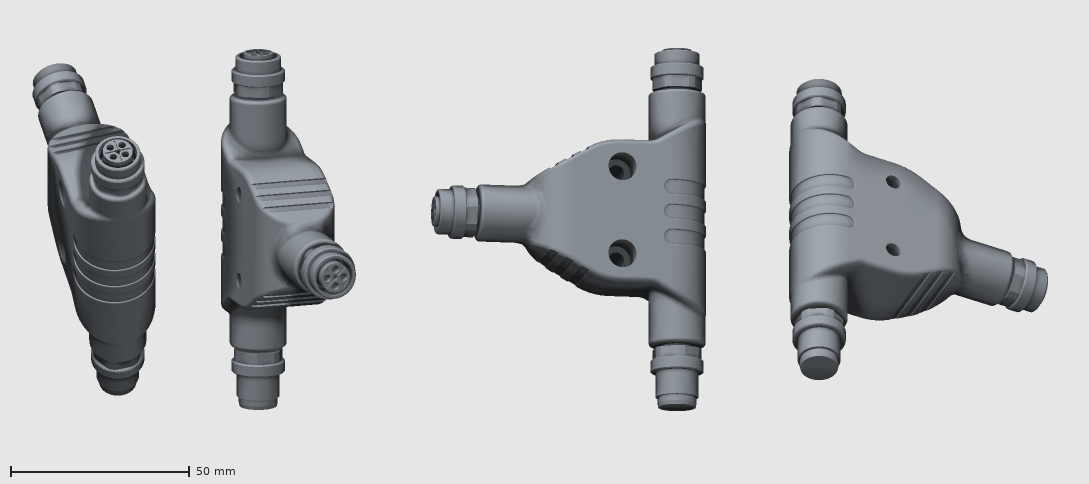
import cadquery as cq
import math


BODY_WIDTH = 23.0
END_RADIUS = BODY_WIDTH / 2
CONDUIT_DIA = 16.0
CONDUIT_RADIUS = CONDUIT_DIA / 2
BODY_RIGHT = 8.1
BODY_LEFT = -43.0
ROOF_HEIGHT = 20.4
NOSE_ANGLE = math.radians(29)
NOSE_BREAK_X = -22.7
NOSE_BREAK_RADIUS = 18.4
SHOULDER_ANGLE = math.radians(30.5)
SHOULDER_BREAK_X = -8.2
SHOULDER_BREAK_RADIUS = 4.6
RIM_FILLET = 1.5
NOSE_HEIGHT = ROOF_HEIGHT - (NOSE_BREAK_X - BODY_LEFT) * math.tan(NOSE_ANGLE)
SHOULDER_HEIGHT = ROOF_HEIGHT + (BODY_RIGHT - SHOULDER_BREAK_X) * math.tan(SHOULDER_ANGLE)

CONDUIT_TOP = 36.0
CONDUIT_BOTTOM = -36.2
BRANCH_END = 57.0
TUBE_END_FILLET = 0.9
BRANCH_BLEND = 4.1
CONDUIT_BLEND = 1.2

GRIP_COUNT = 3
GRIP_FIRST_X = -36.9
GRIP_PITCH_X = 4.3
GRIP_WIDTH = 2.5
GRIP_DEPTH = 0.5

RECESS_HEIGHTS = (-7.1, 0.0, 7.1)
RECESS_WIDTH = 4.1
RECESS_START_X = -5.5
RECESS_DEPTH = 0.4
RECESS_RIM_FILLET = 0.3

MOUNT_X = -17.6
MOUNT_Z = 12.5
MOUNT_DIA = 4.5
MOUNT_HEAD_DIA = 8.0
MOUNT_HEAD_DEPTH = 10.2

NECK_DIA = 9.3
NECK_LENGTH = 0.9
HEX_ACROSS_FLATS = 13.0
HEX_CORNER_DIA = 13.9
HEX_LENGTH = 3.2
RING_DIA = 15.0
RING_LENGTH = 3.5
RING_CHAMFER = 0.3
NUT_LENGTH = NECK_LENGTH + HEX_LENGTH + RING_LENGTH

SLEEVE_DIA = 12.8
SLEEVE_BORE = 10.5
SLEEVE_MOUTH_DIA = 10.8
SLEEVE_MOUTH_DEPTH = 2.0
SLEEVE_LENGTH = 3.9
SLEEVE_CHAMFER = 0.3
SOCKET_DEPTH = 6.1
CORE_DIA = 8.4
CORE_PROTRUSION = 0.9
CONTACT_COUNT = 4
CONTACT_HOLE_DIA = 2.1
CONTACT_CIRCLE_RADIUS = 2.5
CENTRE_HOLE_DIA = 1.5
CONTACT_HOLE_DEPTH = 4.1
SLIT_ANGLES = (45, 135)
SLIT_LENGTH = 7.6
SLIT_WIDTH = 0.5
SLIT_DEPTH = 0.5

PLUG_DIA = 12.0
PLUG_LENGTH = 7.0
PLUG_TIP_DIA = 10.9
PLUG_TIP_LENGTH = 2.5
PLUG_TIP_CHAMFER = 0.2
PLUG_TIP_CHAMFER_LENGTH = 1.0
PLUG_GROOVE_DIA = 10.5
PLUG_GROOVE_LENGTH = 0.4

SIDE_HEX_TURN = 12
TOP_HEX_TURN = 28
BOTTOM_HEX_TURN = 0
SIDE_CONTACT_TURN = 0
TOP_CONTACT_TURN = 45

OVERLAP = 1.0


def rod(diameter, start, length):
    """Cylinder along +Z beginning at height start."""
    return cq.Workplane("XY").workplane(offset=start).circle(diameter / 2).extrude(length)


def aim_left(shape):
    """Turn a shape built along +Z so that it points along -X."""
    return shape.rotate((0, 0, 0), (0, 1, 0), -90)


def plan_prism(inset):
    """Upright prism with a slot shaped plan, shrunk all round by inset."""
    return (
        cq.Workplane("XY")
        .center((BODY_LEFT + BODY_RIGHT) / 2, 0)
        .slot2D(BODY_RIGHT - BODY_LEFT - 2 * inset, BODY_WIDTH - 2 * inset)
        .extrude(SHOULDER_HEIGHT, both=True)
    )


def make_body():
    upper = [
        (BODY_LEFT, NOSE_HEIGHT),
        (NOSE_BREAK_X, ROOF_HEIGHT),
        (SHOULDER_BREAK_X, ROOF_HEIGHT),
        (BODY_RIGHT, SHOULDER_HEIGHT),
    ]
    lower = [(x, -z) for x, z in reversed(upper)]
    side = cq.Workplane("XZ").polyline(upper + lower).close().extrude(BODY_WIDTH, both=True)
    for x, radius in ((NOSE_BREAK_X, NOSE_BREAK_RADIUS), (SHOULDER_BREAK_X, SHOULDER_BREAK_RADIUS)):
        for z in (ROOF_HEIGHT, -ROOF_HEIGHT):
            side = side.edges(cq.selectors.NearestToPointSelector((x, 0, z))).fillet(radius)
    body = side.intersect(plan_prism(0))
    return body.edges("not(|Y or |Z)").fillet(RIM_FILLET)


def blend_conduit(solid, side):
    """Round the corner between the conduit and the left part of the roof above or below."""
    corner = cq.selectors.BoxSelector(
        (SHOULDER_BREAK_X - OVERLAP, -CONDUIT_RADIUS, side * ROOF_HEIGHT / 2),
        (0, CONDUIT_RADIUS, side * SHOULDER_HEIGHT),
    )
    return solid.edges(corner).fillet(CONDUIT_BLEND)


def add_tubes(body):
    """Join the conduit and the side branch, with rounded corners at the body."""
    branch = rod(CONDUIT_DIA, 0, BRANCH_END).faces(">Z").edges().fillet(TUBE_END_FILLET)
    joined = body.union(aim_left(branch))
    nose_seam = cq.selectors.BoxSelector(
        (BODY_LEFT - OVERLAP, -CONDUIT_RADIUS, -CONDUIT_RADIUS),
        (BODY_LEFT + END_RADIUS / 2, CONDUIT_RADIUS, CONDUIT_RADIUS),
    )
    joined = joined.edges(nose_seam).fillet(BRANCH_BLEND)
    conduit = rod(CONDUIT_DIA, CONDUIT_BOTTOM, CONDUIT_TOP - CONDUIT_BOTTOM)
    joined = joined.union(conduit.edges("%CIRCLE").fillet(TUBE_END_FILLET))
    for side in (1, -1):
        joined = blend_conduit(joined, side)
    return joined


def grip_grooves():
    """Shallow grooves square to the sloping roofs, above and below."""
    cutters = cq.Workplane("XY")
    for index in range(GRIP_COUNT):
        x = GRIP_FIRST_X + index * GRIP_PITCH_X
        z = ROOF_HEIGHT - (NOSE_BREAK_X - x) * math.tan(NOSE_ANGLE)
        for side in (1, -1):
            bar = cq.Workplane("XY").box(GRIP_WIDTH, 2 * BODY_WIDTH, 2 * GRIP_DEPTH)
            bar = bar.rotate((0, 0, 0), (0, 1, 0), -side * math.degrees(NOSE_ANGLE))
            cutters = cutters.add(bar.translate((x, 0, side * z)))
    return cutters.combine()


def cut_finger_recesses(solid):
    """Sink round ended bands to a constant depth around the right end and soften their rims."""
    length = 2 * (BODY_RIGHT - RECESS_START_X)
    bands = (
        cq.Workplane("XZ")
        .pushPoints([(BODY_RIGHT, z) for z in RECESS_HEIGHTS])
        .slot2D(length, RECESS_WIDTH)
        .extrude(BODY_WIDTH, both=True)
    )
    solid = solid.cut(bands.cut(plan_prism(RECESS_DEPTH)))
    reach = max(RECESS_HEIGHTS) + RECESS_WIDTH
    front_arcs = cq.selectors.BoxSelector(
        (RECESS_START_X, -END_RADIUS - RECESS_DEPTH / 2, -reach),
        (RECESS_START_X + RECESS_WIDTH / 2, -END_RADIUS + RECESS_DEPTH / 2, reach),
    )
    return solid.edges(front_arcs).edges("%CIRCLE").fillet(RECESS_RIM_FILLET)


def mounting_holes():
    spots = [(MOUNT_X, MOUNT_Z), (MOUNT_X, -MOUNT_Z)]
    front = cq.Workplane("XZ", origin=(0, -END_RADIUS, 0)).pushPoints(spots)
    through = front.circle(MOUNT_DIA / 2).extrude(-BODY_WIDTH)
    heads = front.circle(MOUNT_HEAD_DIA / 2).extrude(-MOUNT_HEAD_DEPTH)
    return through.union(heads)


def coupling_nut(hex_turn):
    """Neck, rounded hexagon and ring stacked along +Z from the end of a tube."""
    hex_start = NECK_LENGTH
    ring_start = hex_start + HEX_LENGTH
    neck = rod(NECK_DIA, -OVERLAP, NECK_LENGTH + 2 * OVERLAP)
    hexagon = (
        cq.Workplane("XY")
        .workplane(offset=hex_start)
        .polygon(6, HEX_ACROSS_FLATS, circumscribed=True)
        .extrude(HEX_LENGTH)
        .intersect(rod(HEX_CORNER_DIA, hex_start, HEX_LENGTH))
        .rotate((0, 0, 0), (0, 0, 1), hex_turn)
    )
    ring = rod(RING_DIA, ring_start, RING_LENGTH).edges("%CIRCLE").chamfer(RING_CHAMFER)
    return neck.union(hexagon).union(ring)


def female_connector(hex_turn, contact_turn):
    """Open sleeve around a contact core with five holes and a cross of slits."""
    rim = NUT_LENGTH + SLEEVE_LENGTH
    tip = rim + CORE_PROTRUSION
    floor = rim - SOCKET_DEPTH
    sleeve = rod(SLEEVE_DIA, NUT_LENGTH - OVERLAP, SLEEVE_LENGTH + OVERLAP)
    sleeve = sleeve.faces(">Z").edges().chamfer(SLEEVE_CHAMFER)
    bore = rod(SLEEVE_BORE, floor, SOCKET_DEPTH)
    mouth = rod(SLEEVE_MOUTH_DIA, rim - SLEEVE_MOUTH_DEPTH, SLEEVE_MOUTH_DEPTH)
    shell = coupling_nut(hex_turn).union(sleeve).cut(bore).cut(mouth)

    seal_radius = (SLEEVE_BORE - CORE_DIA) / 4
    seal_centre = (SLEEVE_BORE + CORE_DIA) / 4
    seal = (
        cq.Workplane("XZ")
        .center(seal_centre, floor)
        .circle(seal_radius)
        .revolve(360, (-seal_centre, 0), (-seal_centre, 1))
    )

    core = rod(CORE_DIA, floor - OVERLAP, tip - floor + OVERLAP)
    face = cq.Workplane("XY").workplane(offset=tip)
    contacts = face.polarArray(CONTACT_CIRCLE_RADIUS, 0, 360, CONTACT_COUNT).circle(CONTACT_HOLE_DIA / 2)
    core = core.cut(contacts.extrude(-CONTACT_HOLE_DEPTH))
    core = core.cut(face.circle(CENTRE_HOLE_DIA / 2).extrude(-CONTACT_HOLE_DEPTH))
    for angle in SLIT_ANGLES:
        slit = face.transformed(rotate=(0, 0, angle)).rect(SLIT_LENGTH, SLIT_WIDTH)
        core = core.cut(slit.extrude(-SLIT_DEPTH))
    core = core.rotate((0, 0, 0), (0, 0, 1), contact_turn)
    return shell.union(seal).union(core)


def male_connector(hex_turn):
    plug = rod(PLUG_DIA, NUT_LENGTH - OVERLAP, PLUG_LENGTH + OVERLAP)
    groove = rod(PLUG_GROOVE_DIA, NUT_LENGTH + PLUG_LENGTH - OVERLAP, PLUG_GROOVE_LENGTH + 2 * OVERLAP)
    tip = rod(PLUG_TIP_DIA, NUT_LENGTH + PLUG_LENGTH + PLUG_GROOVE_LENGTH, PLUG_TIP_LENGTH)
    tip = tip.faces(">Z").edges().chamfer(PLUG_TIP_CHAMFER_LENGTH, PLUG_TIP_CHAMFER)
    return coupling_nut(hex_turn).union(plug).union(groove).union(tip)


body = add_tubes(make_body())
body = cut_finger_recesses(body).cut(grip_grooves()).cut(mounting_holes())

side_female = female_connector(SIDE_HEX_TURN, SIDE_CONTACT_TURN)
side_female = aim_left(side_female.translate((0, 0, BRANCH_END)))
top_female = female_connector(TOP_HEX_TURN, TOP_CONTACT_TURN).translate((0, 0, CONDUIT_TOP))
bottom_male = male_connector(BOTTOM_HEX_TURN).rotate((0, 0, 0), (1, 0, 0), 180)
bottom_male = bottom_male.translate((0, 0, CONDUIT_BOTTOM))

result = body.union(side_female).union(top_female).union(bottom_male)